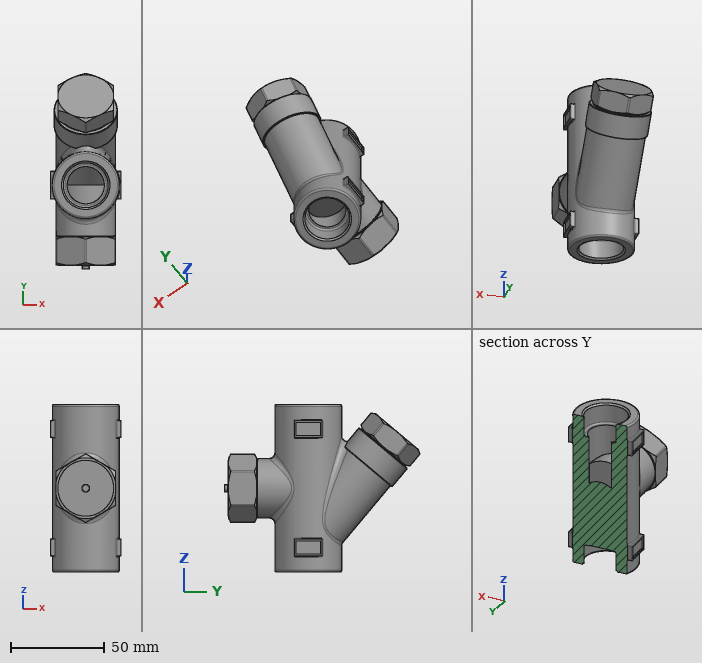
import cadquery as cq
import math

BODY_LENGTH = 90.0
OVERALL_FRONT = 45.0
OVERALL_WIDTH = 38.0

BODY_DIA = 36.0
BODY_EDGE_RADIUS = 1.0
BORE_DIA = 20.0
SOCKET_DIA = 24.12
SOCKET_DEPTH = 12.0
MOUTH_DIA = 26.0
SOCKET_FILLET = 1.0

BRANCH_DIA = 32.0
BRANCH_FILLET = 3.0

FRONT_BRANCH_REACH = 27.25
FRONT_CAP_START = 27.75
FRONT_CAP_END = 42.75
FRONT_DISC_END = 43.05
FRONT_CAP_FLATS = 32.0
FRONT_CAP_FACE_DIA = 32.7
PIN_DIA = 4.0
PIN_BASE_DIA = 4.2
PIN_BASE_LENGTH = 0.3
PIN_TIP_RADIUS = 0.3

INCLINE_ANGLE = 40.0
INCLINE_OFFSET = 17.0
COLLAR_DIA = 34.0
COLLAR_START = 29.4
COLLAR_LENGTH = 13.0
COLLAR_CHAMFER = 0.3
INCLINE_CAP_GAP = 0.5
INCLINE_CAP_LENGTH = 11.0
INCLINE_CAP_FLATS = 30.0
INCLINE_CAP_FACE_DIA = 30.0

CAP_NECK_DIA = 30.0
CAP_EDGE_RADIUS = 1.0
CAP_CHAMFER_ANGLE = 30.0

PAD_WIDTH = 15.0
PAD_HEIGHT = 9.0
PAD_EDGE_RADIUS = 0.3
PAD_FOOT_RADIUS = 0.5
PAD_CENTRE_Z = 31.8
PANEL_WIDTH = 13.0
PANEL_HEIGHT = 7.0
PANEL_DEPTH = 0.9

BODY_RADIUS = BODY_DIA / 2
HALF_LENGTH = BODY_LENGTH / 2
INCLINE_SIN = math.sin(math.radians(INCLINE_ANGLE))
INCLINE_COS = math.cos(math.radians(INCLINE_ANGLE))
INCLINE_ROOT_Z = -INCLINE_OFFSET / INCLINE_SIN
INCLINE_ROOT = INCLINE_ROOT_Z * INCLINE_COS

FRONT_PLANE = cq.Plane(origin=(0, 0, 0), xDir=(1, 0, 0), normal=(0, -1, 0))
INCLINE_PLANE = cq.Plane(
    origin=(0, INCLINE_OFFSET * INCLINE_COS, -INCLINE_OFFSET * INCLINE_SIN),
    xDir=(1, 0, 0),
    normal=(0, INCLINE_SIN, INCLINE_COS),
)


def cylinder(plane, diameter, start, end):
    """Cylinder about the plane's normal, between two distances along it."""
    return cq.Workplane(plane).workplane(offset=start).circle(diameter / 2).extrude(end - start)


def hex_cap(plane, flats, face_dia, start, end):
    """Hexagonal cap with flats facing +X and -X, rounded corners and chamfered ends."""
    corner_radius = flats / math.sqrt(3)
    length = end - start
    face_radius = face_dia / 2
    chamfer = (corner_radius - face_radius) * math.tan(math.radians(CAP_CHAMFER_ANGLE))
    base = cq.Workplane(plane).workplane(offset=start)
    prism = (
        base.transformed(rotate=(0, 0, 90))
        .polygon(6, 2 * corner_radius)
        .extrude(length)
    )
    prism = prism.edges(cq.selectors.ParallelDirSelector(plane.zDir)).fillet(CAP_EDGE_RADIUS)
    profile = [
        (0, 0),
        (face_radius, 0),
        (corner_radius, chamfer),
        (corner_radius, length - chamfer),
        (face_radius, length),
        (0, length),
    ]
    envelope_plane = cq.Plane(origin=base.plane.origin, xDir=plane.xDir, normal=-plane.yDir)
    envelope = cq.Workplane(envelope_plane).polyline(profile).close().revolve(360, (0, 0), (0, 1))
    return prism.intersect(envelope)


def branches():
    front = cylinder(FRONT_PLANE, BRANCH_DIA, 0, FRONT_BRANCH_REACH)
    inclined = cylinder(INCLINE_PLANE, BRANCH_DIA, INCLINE_ROOT, COLLAR_START + COLLAR_LENGTH)
    return front, inclined


def filleted_casting(front, inclined):
    """Body and both branches, blended where the branches leave the body."""
    body = cylinder(cq.Plane.XY(), BODY_DIA, -HALF_LENGTH, HALF_LENGTH)
    body = body.faces("<Z or >Z").edges().fillet(BODY_EDGE_RADIUS)
    casting = body.union(front).union(inclined)
    joints = casting.edges("not (%CIRCLE or %LINE)")
    return joints.fillet(BRANCH_FILLET)


def flow_bores():
    """Bore along Z with a stepped, chamfered socket in each end."""
    bore_radius = BORE_DIA / 2
    socket_radius = SOCKET_DIA / 2
    mouth_radius = MOUTH_DIA / 2
    seat_z = HALF_LENGTH - SOCKET_DEPTH
    upper = (
        cq.Workplane("XZ")
        .lineTo(bore_radius, 0)
        .lineTo(bore_radius, seat_z)
        .lineTo(socket_radius - SOCKET_FILLET, seat_z)
        .radiusArc((socket_radius, seat_z + SOCKET_FILLET), -SOCKET_FILLET)
        .lineTo(socket_radius, HALF_LENGTH - (mouth_radius - socket_radius))
        .lineTo(mouth_radius, HALF_LENGTH)
        .lineTo(0, HALF_LENGTH)
        .close()
        .revolve(360, (0, 0), (0, 1))
    )
    return upper.union(upper.mirror("XY"))


def front_cap():
    neck = cylinder(FRONT_PLANE, CAP_NECK_DIA, FRONT_BRANCH_REACH, FRONT_CAP_START)
    cap = hex_cap(FRONT_PLANE, FRONT_CAP_FLATS, FRONT_CAP_FACE_DIA, FRONT_CAP_START, FRONT_CAP_END)
    disc = cylinder(FRONT_PLANE, CAP_NECK_DIA, FRONT_CAP_END, FRONT_DISC_END)
    pin = cylinder(FRONT_PLANE, PIN_DIA, FRONT_DISC_END, OVERALL_FRONT)
    pin = pin.faces("<Y").edges().fillet(PIN_TIP_RADIUS)
    base = cylinder(FRONT_PLANE, PIN_BASE_DIA, FRONT_DISC_END, FRONT_DISC_END + PIN_BASE_LENGTH)
    return neck.union(cap).union(disc).union(base).union(pin)


def inclined_cap():
    collar_end = COLLAR_START + COLLAR_LENGTH
    cap_start = collar_end + INCLINE_CAP_GAP
    collar = cylinder(INCLINE_PLANE, COLLAR_DIA, COLLAR_START, collar_end)
    collar = collar.faces("%PLANE").edges().chamfer(COLLAR_CHAMFER)
    neck = cylinder(INCLINE_PLANE, CAP_NECK_DIA, collar_end, cap_start)
    cap_end = cap_start + INCLINE_CAP_LENGTH
    cap = hex_cap(INCLINE_PLANE, INCLINE_CAP_FLATS, INCLINE_CAP_FACE_DIA, cap_start, cap_end)
    return collar.union(neck).union(cap)


def add_marking_pad(casting, side, z):
    """Add a pad with a sunken panel on the +X (side = 1) or -X (side = -1) flank."""
    outer_x = OVERALL_WIDTH / 2
    root_x = (BODY_RADIUS + SOCKET_DIA / 2) / 2
    flank = cq.Plane(origin=(0, 0, z), xDir=(0, side, 0), normal=(side, 0, 0))
    pad = cq.Workplane(flank).workplane(offset=root_x).rect(PAD_WIDTH, PAD_HEIGHT).extrude(outer_x - root_x)
    pad = pad.edges("|X").fillet(PAD_EDGE_RADIUS)
    casting = casting.union(pad)

    foot_zone = cq.selectors.BoxSelector(
        (side * root_x, -PAD_WIDTH, z - PAD_HEIGHT),
        (side * (BODY_RADIUS + PAD_FOOT_RADIUS / 2), PAD_WIDTH, z + PAD_HEIGHT),
    )
    casting = casting.edges(foot_zone).edges("not |X").fillet(PAD_FOOT_RADIUS)
    rim_zone = cq.selectors.BoxSelector(
        (side * (outer_x - PAD_EDGE_RADIUS / 2), -PAD_WIDTH, z - PAD_HEIGHT),
        (side * (outer_x + PAD_EDGE_RADIUS / 2), PAD_WIDTH, z + PAD_HEIGHT),
    )
    casting = casting.edges(rim_zone).fillet(PAD_EDGE_RADIUS)
    panel = cq.Workplane(flank).workplane(offset=outer_x).rect(PANEL_WIDTH, PANEL_HEIGHT).extrude(-PANEL_DEPTH)
    return casting.cut(panel)


front_branch, inclined_branch = branches()
result = filleted_casting(front_branch, inclined_branch)
for side in (-1, 1):
    for z in (-PAD_CENTRE_Z, PAD_CENTRE_Z):
        result = add_marking_pad(result, side, z)
result = result.cut(flow_bores().cut(front_branch).cut(inclined_branch))
result = result.union(front_cap()).union(inclined_cap())